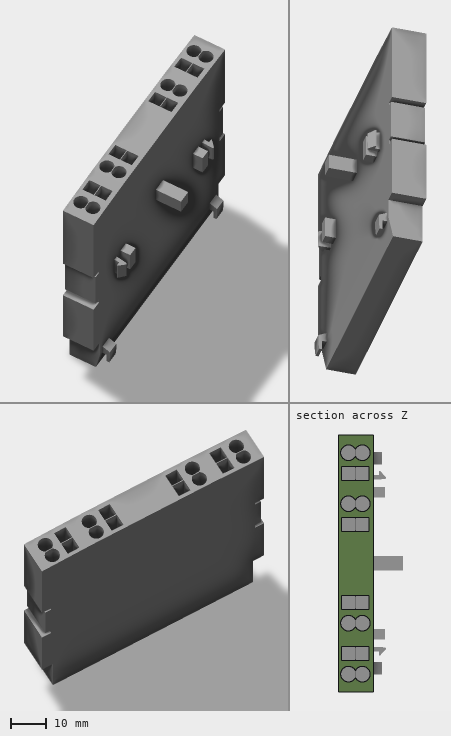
import cadquery as cq

LENGTH = 72.0
HEIGHT = 70.7
THICKNESS = 10.0
HALF_LENGTH = LENGTH / 2

ROOF_FLAT_HALF = 19.5
ROOF_DROP = 0.6

FOOT_HEIGHT = 12.4
FOOT_INSET = 3.5
NOTCH_BOTTOM = 31.25
NOTCH_TOP = 45.8
NOTCH_DEPTH = 2.95

TAB_BOTTOM = 32.8
TAB_TOP = 44.9
TAB_INSET = 1.1

TAPER_HEIGHT = 6.6
TAPER_WIDTH = 1.4

TERMINAL_PITCH = 14.25
INNER_ROUND_Y = 16.7
ROUND_DIAMETER = 4.25
INNER_SQUARE_Y = 10.9
SQUARE_WIDTH = 3.7
SQUARE_LENGTH = 3.75
TERMINAL_CENTRE_X = 4.8
TERMINAL_WEB = 0.2
TERMINAL_SPACING = SQUARE_WIDTH + TERMINAL_WEB
TERMINAL_DEPTH = 8.65

PIN_REACH = 18.2
PIN_WIDTH = 3.95
PIN_BOTTOM = 43.6
PIN_TOP = 48.25

GUIDE_REACH = 13.2
GUIDE_Y = 18.35
GUIDE_WIDTH = 2.95
GUIDE_BOTTOM = 35.5
GUIDE_TOP = 42.0

CLIP_REACH = 13.5
CLIP_INNER_Y = 23.3
CLIP_SHANK_WIDTH = 1.3
CLIP_NOSE_WIDTH = 0.65
CLIP_TIP_OFFSET = 0.2
BARB_X = 11.5
BARB_TIP_X = 11.8
BARB_HEIGHT = 2.45
CLIP_BOTTOM = 35.65
CLIP_ROOT_TOP = 41.55
CLIP_NOSE_TOP = 40.9

HOOK_REACH = 12.4
HOOK_Y = 27.6
HOOK_WIDTH = 3.5
HOOK_ROOT_TOP = 8.85
HOOK_SHOULDER_Z = 7.7
HOOK_UNDERSIDE = 5.9
HOOK_LEG_X = 11.3
HOOK_LEG_TAPER_Z = 5.25
HOOK_TIP_X = 12.2
HOOK_TIP_Z = 2.95

EMBED = 0.7
ROOT_X = THICKNESS - EMBED


def both_ends(shape):
    """A shape together with its mirror image across Y = 0."""
    return shape.union(shape.mirror("XZ"))


def block(x0, x1, y0, y1, z0, z1):
    """A plain box between two opposite corners."""
    return cq.Workplane("XY").box(x1 - x0, y1 - y0, z1 - z0, centered=False).translate((x0, y0, z0))


def xz_prism(points, y0, width):
    """An outline in X and Z, extruded from y0 towards +Y."""
    return cq.Workplane("XZ", origin=(0, y0, 0)).polyline(points).close().extrude(-width)


def make_housing():
    notch_y = HALF_LENGTH - NOTCH_DEPTH
    foot_y = HALF_LENGTH - FOOT_INSET
    right_half = [
        (foot_y, 0),
        (foot_y, FOOT_HEIGHT),
        (HALF_LENGTH, FOOT_HEIGHT),
        (HALF_LENGTH, NOTCH_BOTTOM),
        (notch_y, NOTCH_BOTTOM),
        (notch_y, NOTCH_TOP),
        (HALF_LENGTH, NOTCH_TOP),
        (HALF_LENGTH, HEIGHT - ROOF_DROP),
        (ROOF_FLAT_HALF, HEIGHT),
    ]
    left_half = [(-y, z) for y, z in reversed(right_half)]
    plate = cq.Workplane("YZ").polyline(right_half + left_half).close().extrude(THICKNESS)
    tab = block(0, THICKNESS, notch_y - EMBED, HALF_LENGTH - TAB_INSET, TAB_BOTTOM, TAB_TOP)
    taper = xz_prism(
        [(THICKNESS, TAPER_HEIGHT), (THICKNESS, 0), (THICKNESS - TAPER_WIDTH, 0)],
        -HALF_LENGTH,
        LENGTH,
    )
    return plate.union(both_ends(tab)).cut(taper)


def make_terminal_openings():
    openings = cq.Workplane("XY")
    for step in (0, TERMINAL_PITCH):
        for side in (-1, 1):
            opening_x = TERMINAL_CENTRE_X + side * TERMINAL_SPACING / 2
            roof_at_round = cq.Workplane("XY", origin=(opening_x, INNER_ROUND_Y + step, HEIGHT))
            roof_at_square = cq.Workplane("XY", origin=(opening_x, INNER_SQUARE_Y + step, HEIGHT))
            round_hole = roof_at_round.circle(ROUND_DIAMETER / 2).extrude(-TERMINAL_DEPTH)
            square_hole = roof_at_square.rect(SQUARE_WIDTH, SQUARE_LENGTH).extrude(-TERMINAL_DEPTH)
            openings = openings.union(round_hole).union(square_hole)
    web = block(
        TERMINAL_CENTRE_X - TERMINAL_WEB / 2,
        TERMINAL_CENTRE_X + TERMINAL_WEB / 2,
        0,
        HALF_LENGTH,
        HEIGHT - TERMINAL_DEPTH,
        HEIGHT,
    )
    return both_ends(openings.cut(web))


def make_clip():
    shank_outer_y = CLIP_INNER_Y + CLIP_SHANK_WIDTH
    nose_inner_y = CLIP_INNER_Y + CLIP_TIP_OFFSET
    barb_y = CLIP_INNER_Y + BARB_HEIGHT
    plan = [
        (ROOT_X, CLIP_INNER_Y),
        (CLIP_REACH - CLIP_TIP_OFFSET, nose_inner_y),
        (CLIP_REACH, CLIP_INNER_Y + CLIP_NOSE_WIDTH),
        (BARB_TIP_X, barb_y),
        (BARB_X, barb_y),
        (BARB_X, shank_outer_y),
        (ROOT_X, shank_outer_y),
    ]
    side = [
        (ROOT_X, CLIP_BOTTOM),
        (CLIP_REACH, CLIP_BOTTOM),
        (CLIP_REACH, CLIP_NOSE_TOP),
        (THICKNESS, CLIP_ROOT_TOP),
        (ROOT_X, CLIP_ROOT_TOP),
    ]
    barbed = cq.Workplane("XY").polyline(plan).close().extrude(HEIGHT)
    return barbed.intersect(xz_prism(side, CLIP_INNER_Y, BARB_HEIGHT))


def make_hook():
    outline = [
        (ROOT_X, HOOK_ROOT_TOP),
        (THICKNESS, HOOK_ROOT_TOP),
        (HOOK_REACH, HOOK_SHOULDER_Z),
        (HOOK_REACH, HOOK_LEG_TAPER_Z),
        (HOOK_TIP_X, HOOK_TIP_Z),
        (HOOK_LEG_X, HOOK_TIP_Z),
        (HOOK_LEG_X, HOOK_UNDERSIDE),
        (ROOT_X, HOOK_UNDERSIDE),
    ]
    return xz_prism(outline, HOOK_Y, HOOK_WIDTH)


pin = block(ROOT_X, PIN_REACH, -PIN_WIDTH / 2, PIN_WIDTH / 2, PIN_BOTTOM, PIN_TOP)
guide = block(ROOT_X, GUIDE_REACH, GUIDE_Y, GUIDE_Y + GUIDE_WIDTH, GUIDE_BOTTOM, GUIDE_TOP)

result = make_housing().cut(make_terminal_openings()).union(pin)
for feature in (guide, make_clip(), make_hook()):
    result = result.union(both_ends(feature))